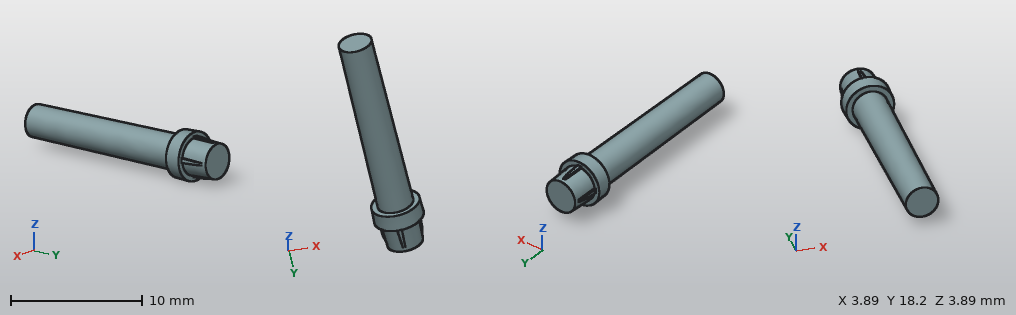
import cadquery as cq

length = 18.16
head_length = 2.25
collar_length = 1.29
collar_head_diameter = 3.89
collar_shank_diameter = 3.8
shank_root_diameter = 2.8
shank_end_diameter = 2.58
head_root_diameter = 2.98
head_end_diameter = 2.8

rib_count = 4
rib_end_gap = 0.38
rib_ramp_length = 0.56
rib_root_radius = 1.62
rib_shoulder_radius = 1.55
rib_root_width = 0.38
rib_tip_width = 0.2

shank_end_y = -length / 2
head_end_y = length / 2
collar_head_y = head_end_y - head_length
collar_shank_y = collar_head_y - collar_length
rib_tip_y = head_end_y - rib_end_gap
rib_shoulder_y = rib_tip_y - rib_ramp_length


def revolve_about_y(points):
    """Turn a closed (radius, y) outline into a solid around the Y axis."""
    return cq.Workplane("XY").polyline(points).close().revolve(360, (0, 0, 0), (0, 1, 0))


def head_radius_at(y):
    """Radius of the tapered head at a place along Y."""
    fraction = (y - collar_head_y) / head_length
    diameter = head_root_diameter + fraction * (head_end_diameter - head_root_diameter)
    return diameter / 2


def make_body():
    return revolve_about_y([
        (0, shank_end_y),
        (shank_end_diameter / 2, shank_end_y),
        (shank_root_diameter / 2, collar_shank_y),
        (collar_shank_diameter / 2, collar_shank_y),
        (collar_head_diameter / 2, collar_head_y),
        (head_root_diameter / 2, collar_head_y),
        (head_end_diameter / 2, head_end_y),
        (0, head_end_y),
    ])


def make_rib():
    """The +Z rib: a tapered wedge cut to a turned outer surface."""
    envelope = revolve_about_y([
        (0, collar_head_y),
        (rib_root_radius, collar_head_y),
        (rib_shoulder_radius, rib_shoulder_y),
        (head_radius_at(rib_tip_y), rib_tip_y),
        (0, rib_tip_y),
    ])
    wedge = (
        cq.Workplane("XY")
        .polyline([
            (-rib_root_width / 2, collar_head_y),
            (rib_root_width / 2, collar_head_y),
            (rib_tip_width / 2, rib_tip_y),
            (-rib_tip_width / 2, rib_tip_y),
        ])
        .close()
        .extrude(collar_head_diameter / 2)
    )
    return envelope.intersect(wedge)


result = make_body()
rib = make_rib()
for index in range(rib_count):
    angle = index * 360 / rib_count
    result = result.union(rib.rotate((0, 0, 0), (0, 1, 0), angle))